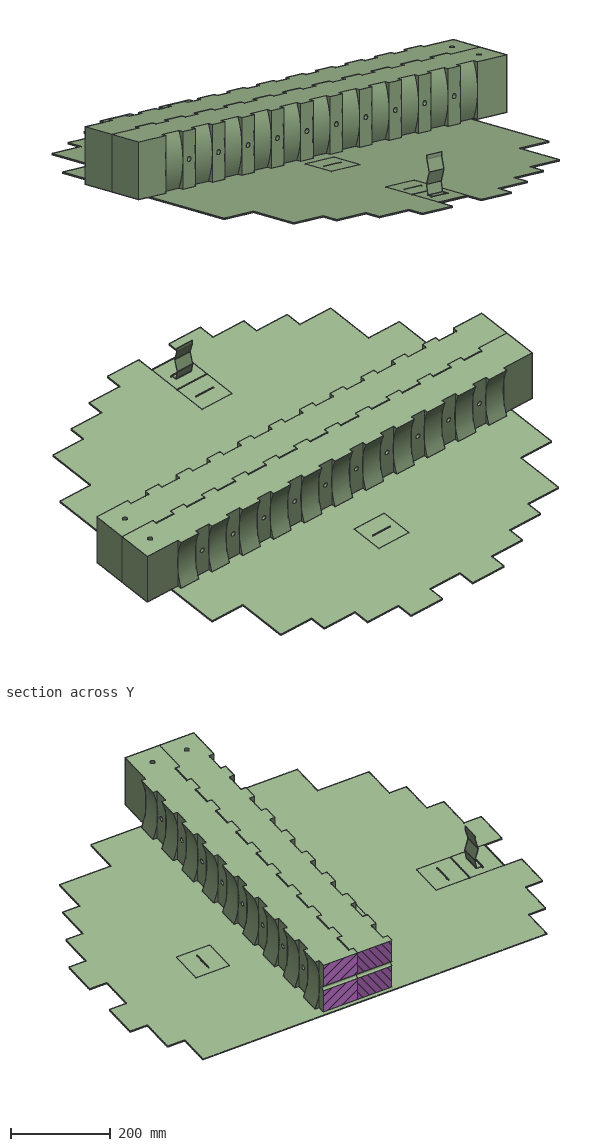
import cadquery as cq
CELL = 80.0
EDGE_CLEARANCE = 1.0
PLATE_THICKNESS = 3.0
PLATE_STEPS = [(3, 5.5), (4.5, 4.5), (5, 3.5), (5.5, 2.5), (6, 1.5)]
PLATE_HALF_LENGTH = 6 * CELL + EDGE_CLEARANCE
NOTCH_DEPTH = CELL / 2

TILE_SIZE = CELL - 2 * EDGE_CLEARANCE
TILE_COLUMNS = [-3, 1, 4, 5]
TILE_CENTERS = [(column * CELL, 0) for column in TILE_COLUMNS]
SLOT_WIDTH = 2.0
SLOT_LENGTH = 46.0

CLIP_THICKNESS = 1.0
CLIP_WIDTH = 40.0
CLIP_SLOT_X = TILE_COLUMNS[-1] * CELL
CLIP_HEEL = (386.0, PLATE_THICKNESS)
CLIP_TROUGH = (382.0, 25.0)
CLIP_PEAK = (390.0, 52.0)
CLIP_BEND = (383.0, 78.0)
CLIP_TIP = (383.0, 86.0)

BEAM_WIDTH = CELL
BEAM_HEIGHT = 120.0
BEAM_LENGTH = 1000.0
BEAM_CENTER_Y = 10.0
BEAM_BOTTOM = 10.0
BEAM_LEFT_FACES = [-1.5 * CELL, -0.5 * CELL]
BEAM_TOP = BEAM_BOTTOM + BEAM_HEIGHT
BEAM_MID_Z = BEAM_BOTTOM + BEAM_HEIGHT / 2
BEAM_END_Y = BEAM_CENTER_Y + BEAM_LENGTH / 2

LIP_COUNT = 11
LIP_PITCH = CELL
LIP_LENGTH = 46.0
LIP_DEPTH = 9.5
LIP_CLEARANCE = 2.0
LIP_SAG = LIP_DEPTH + LIP_CLEARANCE
FIRST_LIP_Y = BEAM_END_Y - CELL - LIP_LENGTH / 2

HOLE_DIAMETER = 10.0
END_HOLE_INSET = 40.0


def plate_body():
    """Stepped disc with a notch at each end of the X axis and a window for each tile."""
    plate = cq.Workplane("XY")
    for cells_x, cells_y in PLATE_STEPS:
        length = 2 * (cells_x * CELL + EDGE_CLEARANCE)
        width = 2 * (cells_y * CELL + EDGE_CLEARANCE)
        plate = plate.union(cq.Workplane("XY").rect(length, width).extrude(PLATE_THICKNESS))
    notches = (
        cq.Workplane("XY")
        .pushPoints([(-PLATE_HALF_LENGTH, 0), (PLATE_HALF_LENGTH, 0)])
        .rect(2 * NOTCH_DEPTH, TILE_SIZE)
        .extrude(PLATE_THICKNESS)
    )
    windows = (
        cq.Workplane("XY")
        .pushPoints(TILE_CENTERS)
        .rect(TILE_SIZE, TILE_SIZE)
        .extrude(PLATE_THICKNESS)
    )
    return plate.cut(notches).cut(windows)


def tile_body(center):
    """Square tile with a narrow slot through its middle."""
    return (
        cq.Workplane("XY")
        .center(*center)
        .rect(TILE_SIZE, TILE_SIZE)
        .rect(SLOT_WIDTH, SLOT_LENGTH)
        .extrude(PLATE_THICKNESS)
    )


def clip_body():
    """Zigzag strip standing on a flat foot that turns down into the slot."""
    left_side = [CLIP_HEEL, CLIP_TROUGH, CLIP_PEAK, CLIP_BEND, CLIP_TIP]
    foot_top = PLATE_THICKNESS + CLIP_THICKNESS
    right_side = [(x + CLIP_THICKNESS, z) for x, z in reversed(left_side[1:])]
    right_side.append((CLIP_HEEL[0] + CLIP_THICKNESS, foot_top))
    hook_left = CLIP_SLOT_X - SLOT_WIDTH / 2
    hook_right = CLIP_SLOT_X + SLOT_WIDTH / 2
    hook = [
        (hook_right, foot_top),
        (hook_right, 0),
        (hook_left, 0),
        (hook_left, PLATE_THICKNESS),
    ]
    return (
        cq.Workplane("XZ")
        .polyline(left_side + right_side + hook)
        .close()
        .extrude(CLIP_WIDTH / 2, both=True)
    )


def curved_section(left_x, center_y):
    """Short length of beam bounded by the same arc on its left and right sides."""
    lip_left = left_x - LIP_DEPTH
    lip_right = lip_left + BEAM_WIDTH - LIP_CLEARANCE
    return (
        cq.Workplane("XZ", origin=(0, center_y, 0))
        .moveTo(lip_left, BEAM_BOTTOM)
        .threePointArc((lip_left + LIP_SAG, BEAM_MID_Z), (lip_left, BEAM_TOP))
        .lineTo(lip_right, BEAM_TOP)
        .threePointArc((lip_right + LIP_SAG, BEAM_MID_Z), (lip_right, BEAM_BOTTOM))
        .close()
        .extrude(LIP_LENGTH / 2, both=True)
    )


def beam_body(left_x):
    """Bar with curved sections along it, cross holes between them and one upright end hole."""
    center_x = left_x + BEAM_WIDTH / 2
    beam = cq.Workplane("XY").box(BEAM_WIDTH, BEAM_LENGTH, BEAM_HEIGHT)
    beam = beam.translate((center_x, BEAM_CENTER_Y, BEAM_MID_Z))
    for index in range(LIP_COUNT):
        center_y = FIRST_LIP_Y - index * LIP_PITCH
        straight_section = cq.Workplane("XY").box(BEAM_WIDTH, LIP_LENGTH, BEAM_HEIGHT)
        beam = beam.cut(straight_section.translate((center_x, center_y, BEAM_MID_Z)))
        beam = beam.union(curved_section(left_x, center_y))
    for index in range(LIP_COUNT - 1):
        hole_y = FIRST_LIP_Y - (index + 0.5) * LIP_PITCH
        cross_hole = cq.Workplane("YZ", origin=(left_x, hole_y, BEAM_MID_Z))
        beam = beam.cut(cross_hole.circle(HOLE_DIAMETER / 2).extrude(BEAM_WIDTH))
    end_hole = cq.Workplane("XY", origin=(center_x, BEAM_END_Y - END_HOLE_INSET, BEAM_BOTTOM))
    return beam.cut(end_hole.circle(HOLE_DIAMETER / 2).extrude(BEAM_HEIGHT))


plate = plate_body()
tiles = [tile_body(center) for center in TILE_CENTERS]
clip = clip_body()
beams = [beam_body(left_x) for left_x in BEAM_LEFT_FACES]

result = cq.Compound.makeCompound(
    [plate.val(), *[tile.val() for tile in tiles], clip.val(), *[beam.val() for beam in beams]]
)